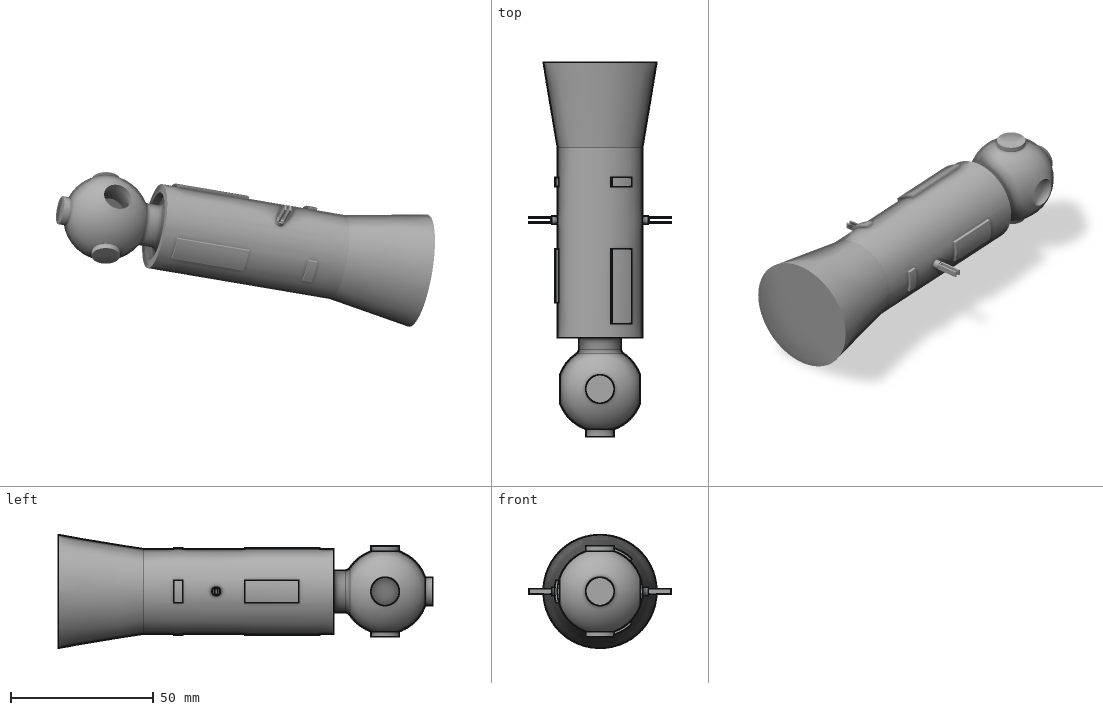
import cadquery as cq
import math


tube_radius = 15.0
tube_length = 67.0
tube_front_y = 18.0
tube_rear_y = tube_front_y + tube_length
nozzle_radius = 20.0
nozzle_length = 30.0
nozzle_rear_y = tube_rear_y + nozzle_length

ball_radius = 15.0
neck_radius = 7.5
neck_ball_fillet = 1.75
recess_radius = 12.0
recess_depth = 2.7
recess_fillet = 3.0

port_radius = 5.0
side_port_reach = 16.0
front_port_reach = 16.8
bore_floor_x = 5.0

pad_width = 8.0
pad_top_radius = 16.0
pad_root_radius = 14.0
short_pad_length = 3.2
short_pad_front_y = 71.2
long_pad_rear_y = 49.3
long_pad_length = 26.3
left_pad_length = 19.0

antenna_y = 59.4
stub_radius = 1.5
stub_end_x = 17.0
fork_end_x = 25.0
fork_width = 2.35
fork_height = 2.0
blade_thickness = 0.6
fork_web_thickness = 0.4


def cylinder(radius, start, end):
    """Solid cylinder between two points."""
    axis = cq.Vector(*end) - cq.Vector(*start)
    return cq.Workplane(obj=cq.Solid.makeCylinder(radius, axis.Length, cq.Vector(*start), axis))


def make_body():
    """Nozzle, tube, recess, neck and ball as one revolved profile."""
    recess_floor_y = tube_front_y + recess_depth
    recess_fillet_end_y = recess_floor_y - recess_fillet
    diagonal = math.sqrt(0.5)
    recess_mid = (
        neck_radius + recess_fillet * (1 - diagonal),
        recess_floor_y - recess_fillet * (1 - diagonal),
    )

    fillet_centre_x = neck_radius + neck_ball_fillet
    fillet_centre_y = math.sqrt((ball_radius + neck_ball_fillet) ** 2 - fillet_centre_x**2)
    ball_angle = math.atan2(fillet_centre_y, fillet_centre_x)
    ball_start = (ball_radius * math.cos(ball_angle), ball_radius * math.sin(ball_angle))
    fillet_mid_angle = math.pi + ball_angle / 2
    fillet_mid = (
        fillet_centre_x + neck_ball_fillet * math.cos(fillet_mid_angle),
        fillet_centre_y + neck_ball_fillet * math.sin(fillet_mid_angle),
    )

    return (
        cq.Workplane("XY")
        .moveTo(0, nozzle_rear_y)
        .lineTo(nozzle_radius, nozzle_rear_y)
        .lineTo(tube_radius, tube_rear_y)
        .lineTo(tube_radius, tube_front_y)
        .lineTo(recess_radius, tube_front_y)
        .lineTo(recess_radius, recess_floor_y)
        .lineTo(neck_radius + recess_fillet, recess_floor_y)
        .threePointArc(recess_mid, (neck_radius, recess_fillet_end_y))
        .lineTo(neck_radius, fillet_centre_y)
        .threePointArc(fillet_mid, ball_start)
        .threePointArc((ball_radius, 0), (0, -ball_radius))
        .close()
        .revolve(360, (0, 0), (0, 1))
    )


def add_ports(body):
    """Closed ports above, below and in front of the ball; blind bores on its two sides."""
    body = body.union(cylinder(port_radius, (0, 0, -side_port_reach), (0, 0, side_port_reach)))
    body = body.union(cylinder(port_radius, (0, 0, 0), (0, -front_port_reach, 0)))
    for side in (-1, 1):
        bore = cylinder(port_radius, (side * bore_floor_x, 0, 0), (side * side_port_reach, 0, 0))
        body = body.cut(bore)
    return body


def make_pad(angle, front_y, length):
    """Pad wrapped around the tube, centred on the given angle from +X towards +Z."""
    pad_rear_y = front_y + length
    ring = cylinder(pad_top_radius, (0, front_y, 0), (0, pad_rear_y, 0))
    ring = ring.cut(cylinder(pad_root_radius, (0, front_y, 0), (0, pad_rear_y, 0)))
    strip = cq.Workplane("XY").box(pad_top_radius, length, pad_width, centered=(False, False, True))
    pad = ring.intersect(strip.translate((0, front_y, 0)))
    return pad.rotate((0, 0, 0), (0, 1, 0), -angle)


def add_pads(body):
    """A short and a long pad at each of three evenly spaced angles."""
    for angle, long_length in ((60, long_pad_length), (180, left_pad_length), (300, long_pad_length)):
        body = body.union(make_pad(angle, short_pad_front_y, short_pad_length))
        body = body.union(make_pad(angle, long_pad_rear_y - long_length, long_length))
    return body


def make_antenna():
    """Antenna on the +X side: a stub rooted in the tube and a fork with two flat blades."""
    stub = cylinder(stub_radius, (0, antenna_y, 0), (stub_end_x, antenna_y, 0))

    fork_length = fork_end_x - stub_end_x
    gap_length = fork_length - fork_web_thickness
    gap_width = fork_width - 2 * blade_thickness
    along_x = (False, True, True)
    fork = cq.Workplane("XY").box(fork_length, fork_width, fork_height, centered=along_x)
    gap = cq.Workplane("XY").box(gap_length, gap_width, fork_height, centered=along_x)
    fork = fork.cut(gap.translate((fork_web_thickness, 0, 0)))
    return stub.union(fork.translate((stub_end_x, antenna_y, 0)))


def add_antennas(body):
    """Mirrored antennas at mid height on the left and right of the tube."""
    antenna = make_antenna()
    return body.union(antenna).union(antenna.mirror("YZ"))


result = add_antennas(add_pads(add_ports(make_body())))